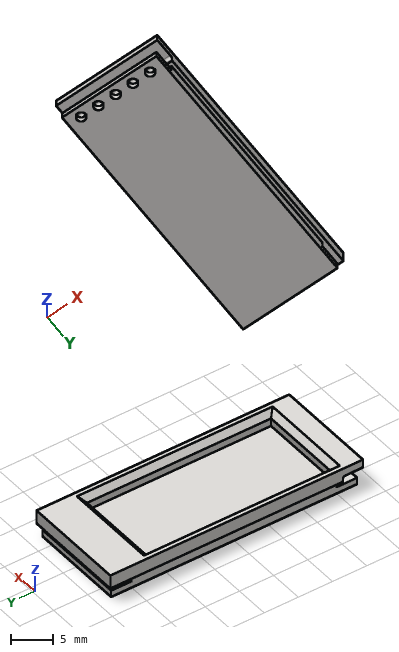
import cadquery as cq

base_width = 14.0
base_length = 36.0
board_thickness = 1.0
block_height = 0.9
block_length = 30.0
hole_diameter = 1.25
hole_count = 5
hole_pitch = 2.55
hole_edge_distance = 1.3

bezel_width = 15.0
bezel_length = 37
bezel_thickness = 2.0
notch_depth = 2.95
lip_thickness = 1.22
notch_fillet = 0.37

window_width = 13.6
window_length = 28.65
window_offset_y = -1.25
bevel_run = 0.85
bevel_drop = bevel_run

bezel_bottom = board_thickness + block_height
bezel_top = bezel_bottom + bezel_thickness
base_front = -base_length / 2
bezel_front = -bezel_length / 2


def make_base():
    """Board and raised block in one solid, drilled along the front ledge."""
    board = cq.Workplane("XY").box(
        base_width, base_length, board_thickness, centered=(True, True, False)
    )
    block = cq.Workplane("XY").box(
        base_width, block_length, bezel_bottom, centered=(True, True, False)
    )
    holes = (
        cq.Workplane("XY")
        .center(0, base_front + hole_edge_distance)
        .rarray(hole_pitch, 0.37, hole_count, 1)
        .circle(hole_diameter / 2)
        .extrude(board_thickness)
    )
    return board.union(block).cut(holes)


def make_notch():
    """Cutter for the front underside, rounded at its inner top edge."""
    notch_height = bezel_thickness - lip_thickness
    return (
        cq.Workplane("XY")
        .box(bezel_width, notch_depth, notch_height, centered=(True, False, False))
        .edges(">Y and >Z")
        .fillet(notch_fillet)
        .translate((0, bezel_front, bezel_bottom))
    )


def make_window():
    """Cutter for the window: straight walls below a bevelled rim."""
    inner_width = window_width - 2 * bevel_run
    inner_length = window_length - 2 * bevel_run
    straight = (
        cq.Workplane("XY", origin=(0, window_offset_y, bezel_bottom))
        .rect(inner_width, inner_length)
        .extrude(bezel_thickness)
    )
    bevel = (
        cq.Workplane("XY", origin=(0, window_offset_y, bezel_top - bevel_drop))
        .rect(inner_width, inner_length)
        .workplane(offset=bevel_drop)
        .rect(window_width, window_length)
        .loft(ruled=True)
    )
    return straight.union(bevel)


def make_bezel():
    """Rectangular frame with the window and the front notch cut away."""
    plate = (
        cq.Workplane("XY", origin=(0, 0, bezel_bottom))
        .rect(bezel_width, bezel_length)
        .extrude(bezel_thickness)
    )
    return plate.cut(make_notch()).cut(make_window())


base = make_base()
bezel = make_bezel()
result = cq.Compound.makeCompound([base.val(), bezel.val()])